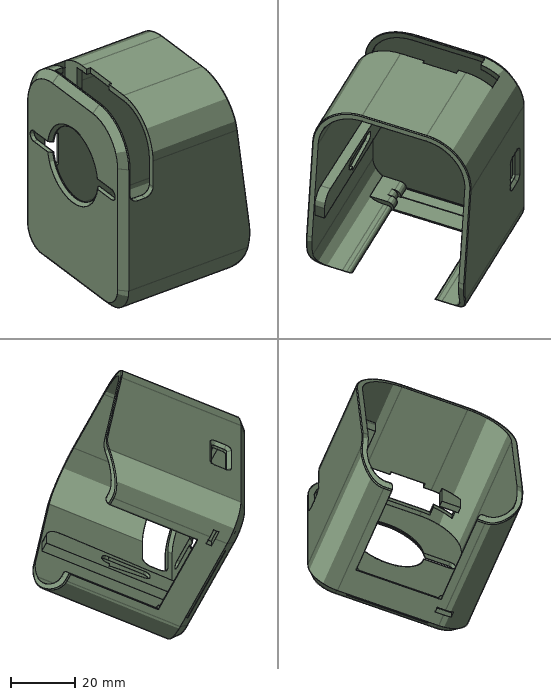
import cadquery as cq
import math

width = 54.0
height = 70.5
depth = 48.9
top_corner_radius = 16.0
bottom_corner_radius = 10.0
front_chamfer = 2.5

side_wall = 2.0
floor_thickness = 1.5
front_thickness = 1.5

back_lean = math.radians(7.3)
back_arc_radius = 20.0
back_bottom_depth = 42.0
back_edge_chamfer = 0.3

hole_diameter = 25.0
hole_chamfer = 1.1
hole_height = 43.4
cross_slot_length = 46.2
cross_slot_width = 3.8

port_width = 5.2
port_height = 12.0
port_corner_radius = 0.8
port_chamfer = 1.1
port_y = 9.5
port_z = 32.6

slot_front = 3.0
slot_back = 11.25
slot_back_right = 11.75
slot_left = -13.8
slot_side_end_z = 42.0
slot_side_radius = 3.0
tab_left = -20.1
tab_front = 6.0
notch_left = -8.4
notch_right = 3.0
notch_back = 12.7

opening_half_width = 14.3
opening_front = 11.4
opening_round = 1.2

shelf_left = -20.1
shelf_top = 3.1
recess_half_width = 13.6
recess_floor = 0.6
recess_step_y = 5.5
recess_step_height = 0.2
recess_round = 2.1
catch_right = 14.6
catch_front = 5.7
catch_back = 8.5

floor_tab_left = -19.6
floor_tab_right = -14.2
floor_tab_front = 6.6
floor_tab_back = 8.4

stop_thickness = 2.0
stop_bottom = 60.0

rail_inner_x = 21.7
rail_end_y = 46.6
rail_bottom = 25.5
rail_top_front = 33.1
rail_top_back = 34.4
rail_end_round = 4.5

groove_width = 3.8
groove_depth = 1.2
groove_z = 30.1
groove_start_y = 10.7
groove_end_y = 24.8
groove_floor_drop = 1.3
rail_hole_diameter = 3.8
rail_hole_y = 25.5


def box(x0, x1, y0, y1, z0, z1):
    """Axis-aligned box between two corners."""
    return cq.Workplane("XY").box(x1 - x0, y1 - y0, z1 - z0, centered=False).translate((x0, y0, z0))


def rounded_block(inset, bottom, front):
    """Block along Y with the body's rounded outline, set in from the sides and top."""
    half = width / 2 - inset
    block = box(-half, half, front, depth, bottom, height - inset)
    block = block.edges("|Y and >Z").fillet(top_corner_radius - inset)
    return block.edges("|Y and <Z").fillet(bottom_corner_radius - inset)


def back_profile():
    """Side profile of the body as a prism across X, bounded by the back edge."""
    centre_y = depth - back_arc_radius
    centre_z = math.sqrt(back_arc_radius**2 - (back_bottom_depth - centre_y) ** 2)
    tangent_y = centre_y + back_arc_radius * math.cos(back_lean)
    tangent_z = centre_z + back_arc_radius * math.sin(back_lean)
    back_top_depth = tangent_y - (height - tangent_z) * math.tan(back_lean)
    return (
        cq.Workplane("YZ")
        .moveTo(0, 0)
        .lineTo(back_bottom_depth, 0)
        .threePointArc((depth, centre_z), (tangent_y, tangent_z))
        .lineTo(back_top_depth, height)
        .lineTo(0, height)
        .close()
        .extrude(width / 2, both=True)
    )


def body():
    """Outer solid, chamfered around the front and finely around the back."""
    solid = rounded_block(0, 0, 0).faces("<Y").edges().chamfer(front_chamfer)
    solid = solid.intersect(back_profile())
    return solid.faces(">Y or >>Y[-2]").edges().chamfer(back_edge_chamfer)


def cavity():
    """Inner space of the shell, open at the back."""
    return rounded_block(side_wall, floor_thickness, front_thickness)


def shelf():
    """Raised floor block between the front wall and the floor opening."""
    block = box(shelf_left, rail_inner_x, front_thickness, opening_front, 0, shelf_top)
    return block.intersect(cavity())


def stop():
    """Short plate under the top wall that closes the back of the left slot tab."""
    plate = box(tab_left, slot_left, slot_back, slot_back + stop_thickness, stop_bottom, height)
    return plate.intersect(cavity())


def rail():
    """Rail on the +X wall with a groove and a round hole in its inner face."""
    bar = (
        cq.Workplane("YZ", origin=(rail_inner_x, 0, 0))
        .moveTo(front_thickness, rail_bottom)
        .lineTo(rail_end_y, rail_bottom)
        .lineTo(rail_end_y, rail_top_back)
        .lineTo(front_thickness, rail_top_front)
        .close()
        .extrude(width / 2 - side_wall - rail_inner_x)
        .edges("|X and >Y").edges(">Z")
        .fillet(rail_end_round)
    )
    face = cq.Workplane("YZ", origin=(rail_inner_x, 0, groove_z))
    radius = groove_width / 2
    groove = (
        face.moveTo(groove_end_y, -radius - groove_floor_drop)
        .lineTo(groove_end_y, radius)
        .lineTo(groove_start_y + radius, radius)
        .threePointArc((groove_start_y, 0), (groove_start_y + radius, -radius))
        .close()
        .extrude(groove_depth)
    )
    hole = face.center(rail_hole_y, 0).circle(rail_hole_diameter / 2).extrude(groove_depth)
    return bar.cut(groove).cut(hole)


def front_openings():
    """Chamfered round hole and the slot crossing it."""
    plane = cq.Workplane("XZ", origin=(0, 0, hole_height))
    radius = hole_diameter / 2
    bore = plane.circle(radius).extrude(-front_thickness)
    countersink = cq.Workplane(
        cq.Solid.makeCone(
            radius + hole_chamfer, radius, hole_chamfer, cq.Vector(0, 0, hole_height), cq.Vector(0, 1, 0)
        )
    )
    cross_slot = plane.slot2D(cross_slot_length, cross_slot_width).extrude(-front_thickness)
    return bore.union(countersink).union(cross_slot)


def port_window():
    """Rounded window through the -X wall, flared towards the outside."""
    outside = -width / 2
    window = box(
        outside,
        outside + side_wall,
        port_y - port_width / 2,
        port_y + port_width / 2,
        port_z - port_height / 2,
        port_z + port_height / 2,
    )
    window = window.edges("|X").fillet(port_corner_radius)
    flare = (
        cq.Workplane("YZ", origin=(outside + port_chamfer, port_y, port_z))
        .sketch()
        .rect(port_width, port_height)
        .vertices()
        .fillet(port_corner_radius)
        .finalize()
        .extrude(-port_chamfer, taper=-45)
    )
    return window.union(flare)


def top_slot():
    """Stepped slot through the top wall, ending with rounded corners in the +X wall."""
    right = width / 2
    main = box(slot_left, right, slot_front, slot_back_right, slot_side_end_z, height)
    main = main.edges("|X and <Z").fillet(slot_side_radius)
    main = main.cut(box(slot_left, notch_left, slot_back, slot_back_right, 0, height))
    tab = box(tab_left, slot_left, tab_front, slot_back, slot_side_end_z, height)
    notch = box(notch_left, notch_right, slot_back, notch_back, slot_side_end_z, height)
    return main.union(tab).union(notch)


def round_edged_cut(left, right, front, back, bottom, top, radius):
    """Cutter along Y that leaves a convex rounding on both upper side edges."""
    bulge = radius * (1 - math.sqrt(0.5))
    rise = radius * math.sqrt(0.5)
    start = top - radius
    return (
        cq.Workplane("XZ", origin=(0, front, 0))
        .moveTo(left, bottom)
        .lineTo(right, bottom)
        .lineTo(right, start)
        .threePointArc((right + bulge, start + rise), (right + radius, top))
        .lineTo(left - radius, top)
        .threePointArc((left - bulge, start + rise), (left, start))
        .close()
        .extrude(front - back)
    )


def floor_openings():
    """Back opening, stepped recess with its catch, and tab slot in the floor."""
    half = opening_half_width
    opening = round_edged_cut(-half, half, opening_front, depth, 0, floor_thickness, opening_round)
    side = recess_half_width
    step = recess_floor + recess_step_height
    front_recess = round_edged_cut(-side, side, front_thickness, recess_step_y, step, shelf_top, recess_round)
    back_recess = round_edged_cut(
        -side, side, recess_step_y, opening_front, recess_floor, shelf_top, recess_round
    )
    catch = round_edged_cut(-side, catch_right, catch_front, catch_back, recess_floor, shelf_top, recess_round)
    tab = box(floor_tab_left, floor_tab_right, floor_tab_front, floor_tab_back, 0, bottom_corner_radius)
    return opening.union(front_recess).union(back_recess).union(catch).union(tab)


result = (
    body()
    .cut(cavity())
    .union(shelf())
    .union(stop())
    .union(rail())
    .cut(front_openings())
    .cut(port_window())
    .cut(top_slot())
    .cut(floor_openings())
)